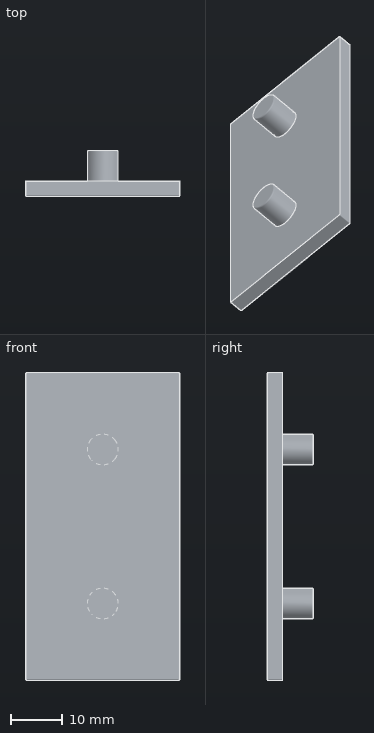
import cadquery as cq

plate_width = 30.0
plate_thickness = 3.0
plate_height = 60.0
plate_fillet = 0.25

peg_diameter = 6.0
peg_length = 6.0
peg_spacing = plate_height / 2
peg_tip_fillet = 0.25


def make_plate():
    """Plate with its rear face on Y = 0; corners along Y and front rim rounded."""
    plate = cq.Workplane("XY").box(plate_width, plate_thickness, plate_height)
    plate = plate.translate((0, -plate_thickness / 2, 0))
    return plate.edges("|Y or <Y").fillet(plate_fillet)


def make_peg(height):
    """Round peg rising from the rear face along +Y, with a rounded tip."""
    peg_base = cq.Workplane("XZ", origin=(0, 0, height))
    peg = peg_base.circle(peg_diameter / 2).extrude(-peg_length)
    return peg.faces(">Y").edges().fillet(peg_tip_fillet)


result = make_plate()
for side in (-1, 1):
    result = result.union(make_peg(side * peg_spacing / 2))